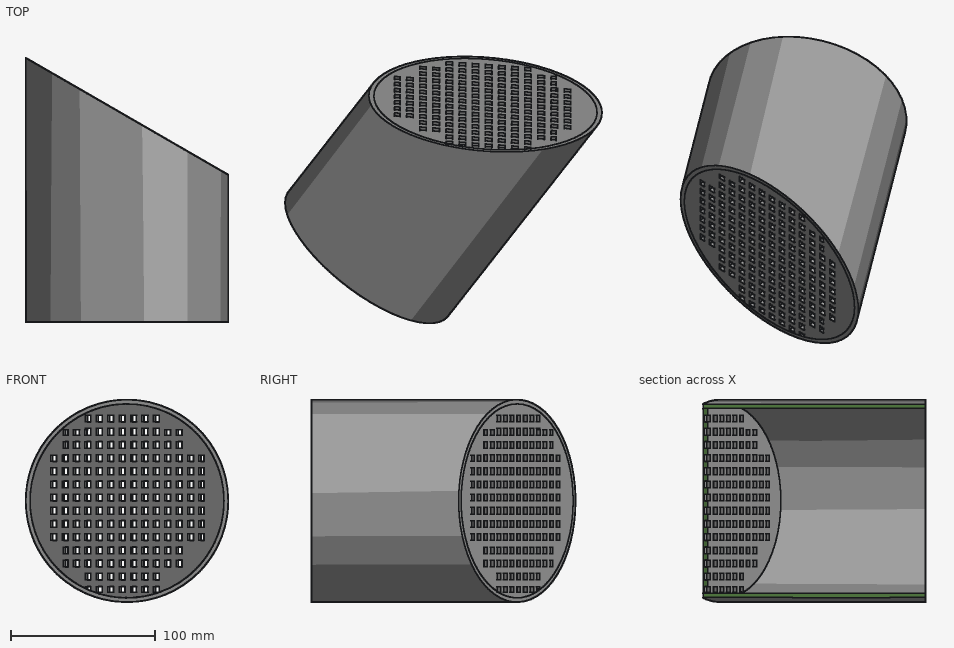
import cadquery as cq
import math

outer_diameter = 140.0
inner_diameter = 134.0
long_side = 182.56
slant_angle = 30.0

plate_thickness = 3.0
hole_pitch = 9.1
hole_size = hole_pitch / 2
holes_per_side = 14
grid_offset = hole_size / 2

long_reach = 63.0
middle_reach = 49.0
short_reach = 31.5

slant = math.radians(slant_angle)
axis_length = long_side - outer_diameter / 2 * math.tan(slant)
oversize = 2 * long_side

end_plane = cq.Plane(
    origin=(0, axis_length, 0),
    xDir=(math.cos(slant), -math.sin(slant), 0),
    normal=(-math.sin(slant), -math.cos(slant), 0),
)


def cylinder_along_y(diameter):
    return cq.Workplane("XZ").circle(diameter / 2).extrude(-long_side)


def slab_behind_end(depth):
    """Everything from the slanted end plane to the given depth inside it."""
    return cq.Workplane(end_plane).rect(oversize, oversize).extrude(depth)


def build_tube():
    wall = cylinder_along_y(outer_diameter).cut(cylinder_along_y(inner_diameter))
    return wall.intersect(slab_behind_end(oversize))


def perforated_area():
    """Stepped outline of three rectangles; holes that cross it are trimmed by it."""
    area = cq.Workplane(end_plane)
    for half_width, half_height in (
        (long_reach, short_reach),
        (middle_reach, middle_reach),
        (short_reach, long_reach),
    ):
        rectangle = cq.Workplane(end_plane).rect(2 * half_width, 2 * half_height)
        area = area.union(rectangle.extrude(plate_thickness))
    return area


def hole_grid():
    return (
        cq.Workplane(end_plane)
        .center(grid_offset, -grid_offset)
        .rarray(hole_pitch, hole_pitch, holes_per_side, holes_per_side)
        .rect(hole_size, hole_size)
        .extrude(plate_thickness)
    )


def build_screen_plate():
    blank = cylinder_along_y(inner_diameter).intersect(slab_behind_end(plate_thickness))
    return blank.cut(hole_grid().intersect(perforated_area()))


tube = build_tube().solids()
screen_plate = build_screen_plate().solids()

result = cq.Compound.makeCompound([tube.val(), screen_plate.val()])